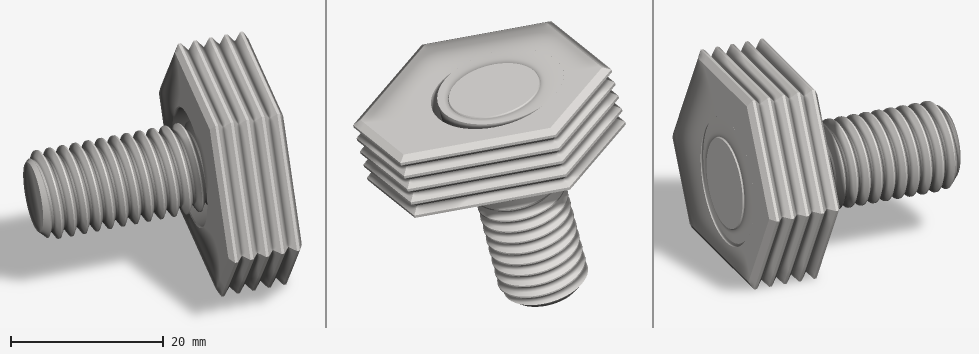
import cadquery as cq
import math


washer_width = 34.65
first_face_steps = 12
face_count = 6
side_face_indices = (1, 2, 4, 5)
side_steps = sum(first_face_steps + index for index in side_face_indices)
face_step = washer_width * math.sqrt(3) / side_steps
first_face_angle = 270.0

washer_thickness = 10.0
ridge_count = 5
ridge_pitch = 2.1
ridge_flat = 0.38
ridge_depth = 0.97

bore_radius = 7.95
bore_chamfer = 0.15
lip_thickness = 2.63

screw_length = 31.6
shank_radius = 6.0
tip_chamfer = 1.3

head_radius = 8.5
head_offset = 1.18
head_direction = math.radians(135)
head_depth = 3.57

boss_height = 0.2
boss_radius = 6.2
boss_tip_radius = 6.05

ten_pitch_length = 17.5
thread_pitch = ten_pitch_length / 10
thread_depth = 1.07
thread_crest = 0.2
thread_root = 0.28
thread_phase = 0.85
cutter_overhang = 0.1

shank_tip = screw_length - washer_thickness - boss_height
counterbore_radius = head_radius


def disc(radius, near, far, x=0.0, z=0.0):
    """Cylinder along the screw axis between two local depths."""
    return cq.Workplane("XZ", origin=(x, -near, z)).circle(radius).extrude(far - near)


def ridged_slab(face_distance):
    """Wide slab whose +X side carries the ridges, at the given distance from the axis."""
    half_span = washer_width
    crest = face_distance
    root = face_distance - ridge_depth
    middle = washer_thickness / 2
    points = [(-half_span, 0), (root, 0)]
    for index in range(ridge_count):
        centre = middle + (index - (ridge_count - 1) / 2) * ridge_pitch
        points += [(crest, centre - ridge_flat / 2), (crest, centre + ridge_flat / 2)]
        if index < ridge_count - 1:
            points.append((root, centre + ridge_pitch / 2))
    points += [(root, washer_thickness), (-half_span, washer_thickness)]
    return cq.Workplane("XY").polyline(points).close().extrude(half_span, both=True)


def make_head():
    """Cam disc, offset from the screw axis."""
    return disc(
        head_radius,
        -washer_thickness,
        -head_depth,
        x=head_offset * math.cos(head_direction),
        z=head_offset * math.sin(head_direction),
    )


def make_washer():
    body = None
    for index in range(face_count):
        angle = first_face_angle - index * 360 / face_count
        slab = ridged_slab((first_face_steps + index) * face_step)
        slab = slab.rotate((0, 0, 0), (0, 1, 0), -angle)
        body = slab if body is None else body.intersect(slab)

    bore = disc(bore_radius, -washer_thickness, 0)
    counterbore = disc(counterbore_radius, -washer_thickness, -lip_thickness)
    rim = cq.Workplane(
        cq.Solid.makeCone(
            bore_radius + bore_chamfer, bore_radius, bore_chamfer, dir=cq.Vector(0, 1, 0)
        )
    )
    return body.cut(bore).cut(counterbore).cut(rim).cut(make_head())


def thread_groove():
    """Helical groove cutter along the shank, running out past both ends."""
    start = thread_phase - math.ceil((thread_phase + head_depth) / thread_pitch) * thread_pitch
    length = shank_tip + thread_pitch - start
    flank_slope = (thread_pitch - thread_crest - thread_root) / 2 / thread_depth
    outer_half = thread_root / 2 + (thread_depth + cutter_overhang) * flank_slope
    root_radius = shank_radius - thread_depth
    outer_radius = shank_radius + cutter_overhang

    path = cq.Wire.makeHelix(thread_pitch, length, root_radius).translate(cq.Vector(0, 0, start))
    groove = (
        cq.Workplane("XZ")
        .polyline([
            (root_radius, start - thread_root / 2),
            (outer_radius, start - outer_half),
            (outer_radius, start + outer_half),
            (root_radius, start + thread_root / 2),
        ])
        .close()
        .sweep(path, isFrenet=True)
    )
    return groove.rotate((0, 0, 0), (1, 0, 0), 90)


def make_screw():
    rod = disc(shank_radius, -screw_length, 2 * screw_length).cut(thread_groove())
    blank = disc(shank_radius, -head_depth, shank_tip).faces("<Y").chamfer(tip_chamfer)
    shank = blank.intersect(rod)
    boss = cq.Workplane(
        cq.Solid.makeCone(
            boss_radius,
            boss_tip_radius,
            boss_height,
            pnt=cq.Vector(0, washer_thickness, 0),
            dir=cq.Vector(0, 1, 0),
        )
    )
    return shank.union(make_head()).union(boss)


washer = make_washer()
screw = make_screw()

result = cq.Compound.makeCompound([*washer.solids().vals(), *screw.solids().vals()])